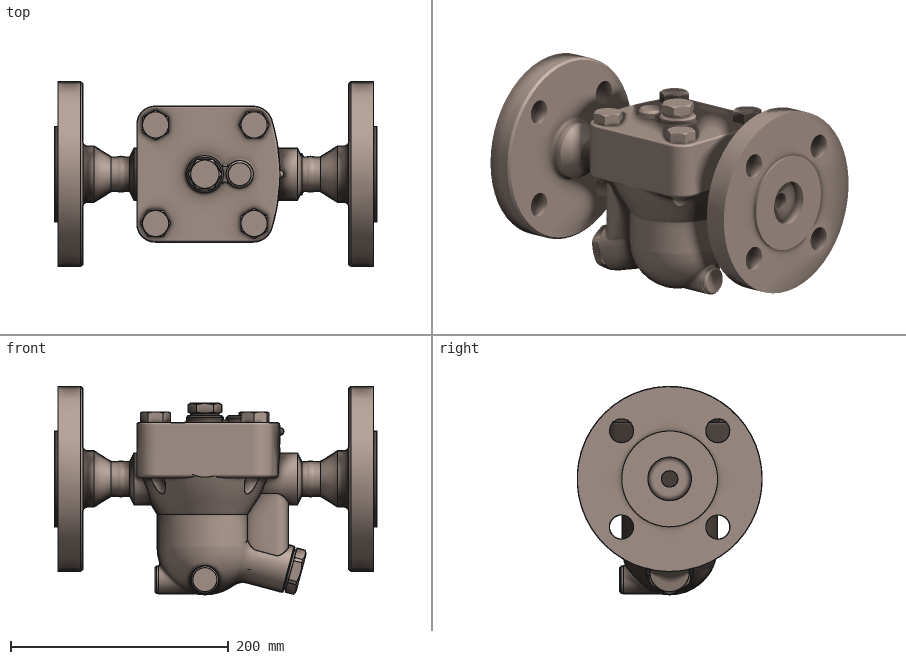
import cadquery as cq
import math


FACE_TO_FACE = 296.0
PIPE_CENTRE_X = 10.0
FLANGE_RADIUS = 85.0
FLANGE_THICKNESS = 26.0
FLANGE_CHAMFER = 2.0
RAISED_FACE_RADIUS = 44.0
RAISED_FACE_HEIGHT = 3.0
BOLT_CIRCLE_RADIUS = 62.5
FLANGE_HOLE_DIAMETER = 22.0
HUB_RADIUS = 26.0
HUB_FILLET = 4.0
HUB_END = 36.0
PIPE_RADIUS = 16.0
PIPE_START = 52.0
WELD_CROWN_RADIUS = 16.5
WELD_START = 58.0
WELD_END = 64.0
NOZZLE_CONE_START = 69.0
NOZZLE_CONE_END = 73.0
NOZZLE_RADIUS = 24.0
SOCKET_RADIUS = 20.0
SOCKET_DEPTH = 10.0
BORE_RADIUS = 7.5
BORE_END = 62.0

BOWL_RADIUS = 44.0
DOME_CENTRE_Z = -62.45
BOWL_TOP_Z = -32.5
CONE_TOP_Z = -19.0
CONE_TOP_RADIUS = 52.0
NECK_TOP_Z = 4.0
NECK_TOP_RADIUS = 63.5

JOINT_BOTTOM_Z = 1.0
JOINT_Z = 30.0
COVER_TOP_Z = 51.6
COVER_HALF_WIDTH = 62.5
CORNER_RADIUS = 17.0
BULGE_CORNER_RADIUS = 18.5
COVER_BULGE_X = 69.0
COVER_TOP_FILLET = 2.0
JOINT_BOTTOM_FILLET = 3.0

BOLT_OFFSET = 45.25
BOLT_HEX = 24.0
BOLT_HEAD_HEIGHT = 10.0
BOLT_HOLE_RADIUS = 9.0
BOLT_HOLE_LENGTH = 25.0

PLUG_BOSS_RADIUS = 17.0
SIDE_BOSS_RADIUS = 12.5
SIDE_BOSS_X = 32.0
BOSS_HEIGHT = 6.4
BOSS_BASE_FILLET = 2.5
PLUG_BOSS_CHAMFER = 1.5
SIDE_BOSS_CHAMFER = 2.0
BRIDGE_WIDTH = 14.0
BRIDGE_HEIGHT = 2.6
PLUG_HEX = 27.0
PLUG_FACE_RADIUS = 13.0
PLUG_HEX_HEIGHT = 9.5
PLUG_WASHER_RADIUS = 13.0
PLUG_WASHER_HEIGHT = 2.0
PIN_RADIUS = 3.5
PIN_END_X = 72.5
PIN_Z = 43.5

BLOCK_WIDTH = 40.0
BLOCK_END_X = 77.0
BLOCK_FILLET = 12.0

SPOUT_ANGLE = 15.0
SPOUT_RADIUS = 22.0
SPOUT_LENGTH = 80.0
SPOUT_FILLET = 16.0
SPOUT_CHAMFER = 1.0
CAP_HEX = 38.0
CAP_CORNER_RADIUS = 21.0
CAP_FACE_RADIUS = 18.0
CAP_HEIGHT = 9.5
CAP_WASHER_RADIUS = 19.0
CAP_WASHER_HEIGHT = 2.0

STUB_RADIUS = 13.0
STUB_LENGTH = 42.5
STUB_Z = -92.5
STUB_FILLET = 2.0
STUB_PLUG_RADIUS = 12.5
STUB_PLUG_END = 46.0
STUB_CHAMFER = 1.5

HEX_BEVEL_ANGLE = 30.0


def corner_radius(across_flats):
    return across_flats / 2 / math.cos(math.radians(30))


def hex_head(across_flats, height, trim_radius, face_radius, bevel_bottom=False):
    """Upright hexagon on Z = 0, its corners trimmed to a round and bevelled to the end face circle."""
    bevel = (trim_radius - face_radius) * math.tan(math.radians(HEX_BEVEL_ANGLE))
    prism = cq.Workplane("XY").polygon(6, 2 * corner_radius(across_flats)).extrude(height)
    if bevel_bottom:
        bottom = [(face_radius, 0), (trim_radius, bevel)]
    else:
        bottom = [(trim_radius, 0)]
    top = [(trim_radius, height - bevel), (face_radius, height), (0, height)]
    envelope = (
        cq.Workplane("XZ").polyline([(0, 0)] + bottom + top).close().revolve(360, (0, 0), (0, 1))
    )
    return prism.intersect(envelope)


def disc(radius, height, base_z=0.0):
    return cq.Workplane("XY", origin=(0, 0, base_z)).circle(radius).extrude(height)


def pipe_end():
    """Flange, hub, pipe and nozzle, revolved about X from the sealing face at X = 0 inward."""
    return (
        cq.Workplane("XY")
        .lineTo(0, RAISED_FACE_RADIUS)
        .lineTo(RAISED_FACE_HEIGHT, RAISED_FACE_RADIUS)
        .lineTo(RAISED_FACE_HEIGHT, FLANGE_RADIUS)
        .lineTo(FLANGE_THICKNESS - FLANGE_CHAMFER, FLANGE_RADIUS)
        .lineTo(FLANGE_THICKNESS, FLANGE_RADIUS - FLANGE_CHAMFER)
        .lineTo(FLANGE_THICKNESS, HUB_RADIUS + HUB_FILLET)
        .radiusArc((FLANGE_THICKNESS + HUB_FILLET, HUB_RADIUS), -HUB_FILLET)
        .lineTo(HUB_END, HUB_RADIUS)
        .lineTo(PIPE_START, PIPE_RADIUS)
        .lineTo(WELD_START, PIPE_RADIUS)
        .threePointArc(((WELD_START + WELD_END) / 2, WELD_CROWN_RADIUS), (WELD_END, PIPE_RADIUS))
        .lineTo(NOZZLE_CONE_START, PIPE_RADIUS)
        .lineTo(NOZZLE_CONE_END, NOZZLE_RADIUS)
        .lineTo(FACE_TO_FACE / 2, NOZZLE_RADIUS)
        .lineTo(FACE_TO_FACE / 2, 0)
        .close()
        .revolve(360, (0, 0), (1, 0))
    )


def pipe_end_bores():
    """Stepped bore and the four flange bolt holes of one pipe end."""
    face = cq.Workplane("YZ")
    socket = face.circle(SOCKET_RADIUS).extrude(SOCKET_DEPTH)
    bore = face.circle(BORE_RADIUS).extrude(BORE_END)
    holes = (
        face.polarArray(BOLT_CIRCLE_RADIUS, 45, 360, 4)
        .circle(FLANGE_HOLE_DIAMETER / 2)
        .extrude(FLANGE_THICKNESS)
    )
    return socket.union(bore).union(holes)


def both_ends(shape):
    """Places a pipe-end shape at the inlet and, mirrored, at the outlet."""
    inlet_face_x = PIPE_CENTRE_X - FACE_TO_FACE / 2
    outlet_face_x = PIPE_CENTRE_X + FACE_TO_FACE / 2
    inlet = shape.translate((inlet_face_x, 0, 0))
    outlet = shape.mirror("YZ").translate((outlet_face_x, 0, 0))
    return inlet.union(outlet)


def body_bowl():
    """Turned bowl, trimmed where the top of its neck would stand out of the body flange."""
    dome_bottom_z = DOME_CENTRE_Z - BOWL_RADIUS
    turned = (
        cq.Workplane("XZ")
        .moveTo(0, dome_bottom_z)
        .radiusArc((BOWL_RADIUS, DOME_CENTRE_Z), -BOWL_RADIUS)
        .lineTo(BOWL_RADIUS, BOWL_TOP_Z)
        .lineTo(CONE_TOP_RADIUS, CONE_TOP_Z)
        .tangentArcPoint((NECK_TOP_RADIUS, NECK_TOP_Z), relative=False)
        .lineTo(0, NECK_TOP_Z)
        .close()
        .revolve(360, (0, 0), (0, 1))
    )
    return turned.intersect(cover_outline(dome_bottom_z).extrude(NECK_TOP_Z - dome_bottom_z))


def cover_outline(base_z):
    """Square with rounded corners whose +X side is one large arc tangent to its two corners."""
    side = COVER_HALF_WIDTH
    inset = side - CORNER_RADIUS
    bulge_inset = side - BULGE_CORNER_RADIUS
    gap = COVER_BULGE_X - bulge_inset
    bulge_radius = (gap**2 + bulge_inset**2 - BULGE_CORNER_RADIUS**2) / (2 * (gap - BULGE_CORNER_RADIUS))
    tangent_angle = math.asin(bulge_inset / (bulge_radius - BULGE_CORNER_RADIUS))
    tangent_x = bulge_inset + BULGE_CORNER_RADIUS * math.cos(tangent_angle)
    tangent_y = bulge_inset + BULGE_CORNER_RADIUS * math.sin(tangent_angle)
    return (
        cq.Workplane("XY", origin=(0, 0, base_z))
        .moveTo(-side, -inset)
        .radiusArc((-inset, -side), -CORNER_RADIUS)
        .lineTo(bulge_inset, -side)
        .radiusArc((tangent_x, -tangent_y), -BULGE_CORNER_RADIUS)
        .threePointArc((COVER_BULGE_X, 0), (tangent_x, tangent_y))
        .radiusArc((bulge_inset, side), -BULGE_CORNER_RADIUS)
        .lineTo(-inset, side)
        .radiusArc((-side, inset), -CORNER_RADIUS)
        .close()
    )


def body_flange():
    plate = cover_outline(JOINT_BOTTOM_Z).extrude(JOINT_Z - JOINT_BOTTOM_Z)
    return plate.faces("<Z").edges().fillet(JOINT_BOTTOM_FILLET)


def cover():
    plate = cover_outline(JOINT_Z).extrude(COVER_TOP_Z - JOINT_Z)
    plate = plate.faces(">Z").edges().fillet(COVER_TOP_FILLET)
    plug_boss = disc(PLUG_BOSS_RADIUS, BOSS_HEIGHT, COVER_TOP_Z)
    side_boss = disc(SIDE_BOSS_RADIUS, BOSS_HEIGHT, COVER_TOP_Z).translate((SIDE_BOSS_X, 0, 0))
    plug_boss = plug_boss.faces(">Z").edges().chamfer(PLUG_BOSS_CHAMFER)
    side_boss = side_boss.faces(">Z").edges().chamfer(SIDE_BOSS_CHAMFER)
    bridge = cq.Workplane("XY", origin=(SIDE_BOSS_X / 2, 0, COVER_TOP_Z)).box(
        SIDE_BOSS_X, BRIDGE_WIDTH, BRIDGE_HEIGHT, centered=(True, True, False)
    )
    raised = plate.union(plug_boss).union(side_boss).union(bridge)
    margin = 0.1
    around_bosses = cq.selectors.BoxSelector(
        (-PLUG_BOSS_RADIUS - margin, -PLUG_BOSS_RADIUS - margin, COVER_TOP_Z - margin),
        (SIDE_BOSS_X + SIDE_BOSS_RADIUS + margin, PLUG_BOSS_RADIUS + margin, COVER_TOP_Z + margin),
        boundingbox=True,
    )
    return raised.edges(around_bosses).fillet(BOSS_BASE_FILLET)


def cover_plug():
    washer = disc(PLUG_WASHER_RADIUS, PLUG_WASHER_HEIGHT)
    trim_radius = corner_radius(PLUG_HEX)
    head = hex_head(PLUG_HEX, PLUG_HEX_HEIGHT, trim_radius, PLUG_FACE_RADIUS, bevel_bottom=True)
    head = head.translate((0, 0, PLUG_WASHER_HEIGHT))
    return washer.union(head).translate((0, 0, COVER_TOP_Z + BOSS_HEIGHT))


def cover_pin():
    """Round-ended pin standing out of the bulged side of the cover."""
    centre_x = PIN_END_X - PIN_RADIUS
    shank = cq.Workplane("YZ", origin=(0, 0, PIN_Z)).circle(PIN_RADIUS).extrude(centre_x)
    return shank.union(cq.Workplane("XY").sphere(PIN_RADIUS).translate((centre_x, 0, PIN_Z)))


def bolt_positions():
    return [(sx * BOLT_OFFSET, sy * BOLT_OFFSET) for sx in (-1, 1) for sy in (-1, 1)]


def cover_bolts():
    head = hex_head(BOLT_HEX, BOLT_HEAD_HEIGHT, corner_radius(BOLT_HEX), BOLT_HEX / 2)
    bolts = cq.Workplane("XY")
    for x, y in bolt_positions():
        point_angle = 0.0 if x * y > 0 else 90.0
        turned_head = head.rotate((0, 0, 0), (0, 0, 1), point_angle)
        bolts = bolts.add(turned_head.translate((x, y, COVER_TOP_Z)))
    return bolts.combine()


def bolt_holes():
    """Open lower ends of the bolt holes, breaking out through the neck below the body flange."""
    return (
        cq.Workplane("XY", origin=(0, 0, JOINT_BOTTOM_Z - BOLT_HOLE_LENGTH))
        .pushPoints(bolt_positions())
        .circle(BOLT_HOLE_RADIUS)
        .extrude(BOLT_HOLE_LENGTH)
    )


def outlet_block():
    height = -DOME_CENTRE_Z + SPOUT_LENGTH * math.sin(math.radians(SPOUT_ANGLE))
    block = cq.Workplane("XY").box(BLOCK_END_X, BLOCK_WIDTH, height, centered=(False, True, False))
    block = block.edges("|Z and >X").fillet(BLOCK_FILLET)
    return block.translate((0, 0, -height))


def spout():
    """Spout along +Z from the dome centre with a fillet arc onto the dome, then tilted into place."""
    fillet_reach = BOWL_RADIUS + SPOUT_FILLET
    fillet_centre_r = SPOUT_RADIUS + SPOUT_FILLET
    fillet_end = math.sqrt(fillet_reach**2 - fillet_centre_r**2)
    to_dome = BOWL_RADIUS / fillet_reach
    barrel = (
        cq.Workplane("XZ")
        .lineTo(fillet_centre_r * to_dome, fillet_end * to_dome)
        .radiusArc((SPOUT_RADIUS, fillet_end), SPOUT_FILLET)
        .lineTo(SPOUT_RADIUS, SPOUT_LENGTH - SPOUT_CHAMFER)
        .lineTo(SPOUT_RADIUS - SPOUT_CHAMFER, SPOUT_LENGTH)
        .lineTo(0, SPOUT_LENGTH)
        .close()
        .revolve(360, (0, 0), (0, 1))
    )
    washer = disc(CAP_WASHER_RADIUS, CAP_WASHER_HEIGHT, SPOUT_LENGTH)
    cap = hex_head(CAP_HEX, CAP_HEIGHT, CAP_CORNER_RADIUS, CAP_FACE_RADIUS)
    cap = cap.translate((0, 0, SPOUT_LENGTH + CAP_WASHER_HEIGHT))
    upright = barrel.union(washer).union(cap)
    return upright.rotate((0, 0, 0), (0, 1, 0), 90 + SPOUT_ANGLE).translate((0, 0, DOME_CENTRE_Z))


def drain_stub():
    """Stub towards -X, closed by a slightly smaller plug with a chamfered end."""
    stub = cq.Workplane("YZ", origin=(0, 0, STUB_Z)).circle(STUB_RADIUS).extrude(-STUB_LENGTH)
    plug = cq.Workplane("YZ", origin=(0, 0, STUB_Z)).circle(STUB_PLUG_RADIUS).extrude(-STUB_PLUG_END)
    return stub.union(plug.faces("<X").edges().chamfer(STUB_CHAMFER))


def bowl_with_stubs():
    """Bowl with one drain stub towards -X, filleted onto the dome, and a plain one towards -Y."""
    stub = drain_stub()
    bowl = body_bowl().union(stub)
    near_dome = cq.selectors.BoxSelector(
        (-STUB_LENGTH + STUB_CHAMFER, -STUB_RADIUS - STUB_FILLET, STUB_Z - STUB_RADIUS - STUB_FILLET),
        (0, STUB_RADIUS + STUB_FILLET, STUB_Z + STUB_RADIUS + STUB_FILLET),
        boundingbox=True,
    )
    bowl = bowl.edges(near_dome).fillet(STUB_FILLET)
    return bowl.union(stub.rotate((0, 0, 0), (0, 0, 1), 90))


body = bowl_with_stubs().union(outlet_block()).union(spout())
body = body.union(both_ends(pipe_end())).cut(bolt_holes()).union(body_flange())
lid = cover().union(cover_plug()).union(cover_pin()).union(cover_bolts())

result = body.union(lid, clean=False).cut(both_ends(pipe_end_bores()), clean=False)